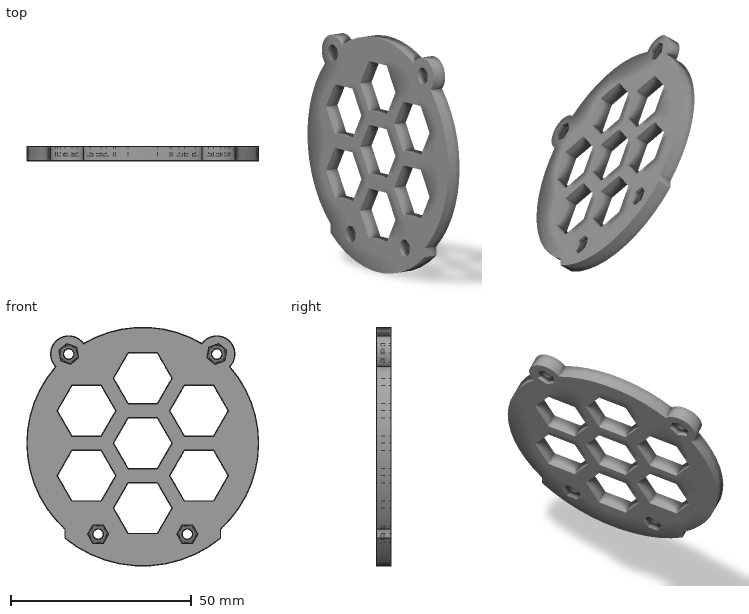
import cadquery as cq
import math

height = 65.9
disc_diameter = 64.0
thickness = 4.0
disc_radius = disc_diameter / 2

flange_radius = height - disc_radius
flange_width = 43.0

window_across_flats = 14.0
window_pitch = 17.9

ear_radius = 5.0
ear_angle = 50.3
lower_hole_x = 12.3
lower_hole_z = -25.1
hole_diameter = 2.85
nut_across_corners = 5.8
nut_pocket_depth = 1.3

head_diameter = 4.6
head_depth = 2.0

ear_x = disc_radius * math.cos(math.radians(ear_angle))
ear_z = disc_radius * math.sin(math.radians(ear_angle))


def hex_prism(x, z, across_corners, depth, turn=0):
    """Hexagon at (x, z) running from the front face toward the back, turned about its axis."""
    prism = cq.Workplane("XZ").polygon(6, across_corners).extrude(-depth)
    return prism.rotate((0, 0, 0), (0, -1, 0), turn).translate((x, 0, z))


def cylinder(x, z, radius):
    """Round bar at (x, z) spanning the plate thickness."""
    return cq.Workplane("XZ").center(x, z).circle(radius).extrude(-thickness)


def make_plate():
    """Disc with the wider lower flange and two ears centred on its rim."""
    lower_band = (
        cq.Workplane("XZ")
        .center(0, -flange_radius / 2)
        .rect(flange_width, flange_radius)
        .extrude(-thickness)
    )
    flange = cylinder(0, 0, flange_radius).intersect(lower_band)
    plate = cylinder(0, 0, disc_radius).union(flange)
    for side in (-1, 1):
        plate = plate.union(cylinder(side * ear_x, ear_z, ear_radius))
    return plate


def cut_windows(plate):
    """One central window ringed by six more, with parallel webs between them."""
    across_corners = window_across_flats / math.cos(math.radians(30))
    centres = [(0, 0)]
    for step in range(6):
        angle = math.radians(30 + 60 * step)
        centres.append((window_pitch * math.cos(angle), window_pitch * math.sin(angle)))
    for x, z in centres:
        plate = plate.cut(hex_prism(x, z, across_corners, thickness))
    return plate


def cut_nut_hole(plate, x, z, turn):
    """Through hole with a front nut pocket and a back screw head recess."""
    plate = plate.cut(cylinder(x, z, hole_diameter / 2))
    head = cylinder(x, z, head_diameter / 2).translate((0, thickness - head_depth, 0))
    plate = plate.cut(head)
    return plate.cut(hex_prism(x, z, nut_across_corners, nut_pocket_depth, turn))


result = cut_windows(make_plate())
for side in (-1, 1):
    result = cut_nut_hole(result, side * ear_x, ear_z, side * (ear_angle + 30))
    result = cut_nut_hole(result, side * lower_hole_x, lower_hole_z, 0)